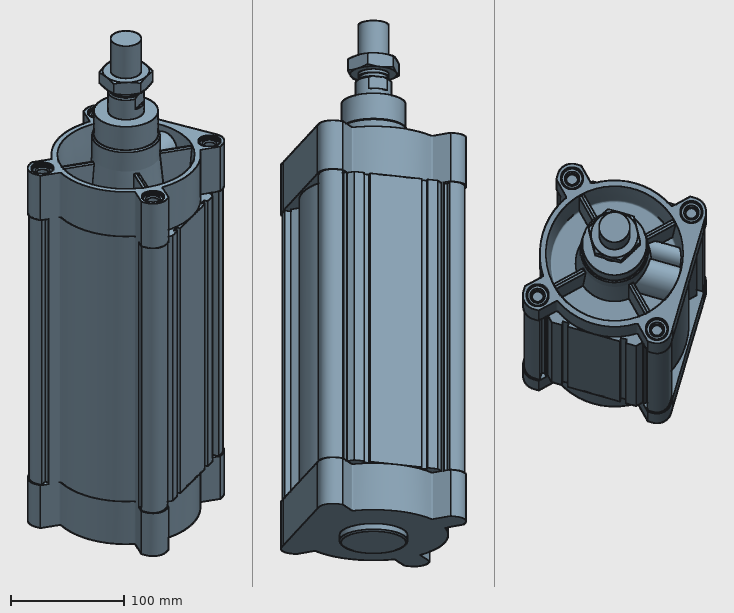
import cadquery as cq
import math

TOTAL_HEIGHT = 485.0
REAR_CAP_BOTTOM = 7.0
REAR_CAP_TOP = 50.5
FRONT_CAP_BOTTOM = 321.0
FRONT_CAP_TOP = 366.5
COLLAR_SHOULDER = 387.5
COLLAR_TOP = 411.5
FLATS_BOTTOM = 420.5
ROD_SHOULDER = 432.5
NECK_TOP = 436.5
NUT_BOTTOM = 439.5
NUT_TOP = 452.0

CAP_WIDTH = 136.0
CAP_CORNER_RADIUS = 13.0
CAP_ROUND_DIAMETER = 132.0
LUG_WIDTH = 25.0
LUG_ROOT_FILLET = 1.5
PORT_FACE_WIDTH = 100.0

BARREL_WIDTH = 133.5
BARREL_CORNER_RADIUS = CAP_CORNER_RADIUS - (CAP_WIDTH - BARREL_WIDTH) / 2
BARREL_ROUND_DIAMETER = 131.5
FLAT_TO_FLAT = 132.0
FLAT_HALF_LENGTH = 39.0
FLAT_BEVEL = 5.0
SLOT_CENTRE = 26.5
SLOT_WIDTH = 5.5
SLOT_DEPTH = 3.5
LUG_GROOVE_OUTER = 49.5
LUG_GROOVE_INNER = 44.5
LUG_GROOVE_FLOOR_WIDTH = 3.0
LUG_GROOVE_SLOPE_TOP = 62.5
LUG_GROOVE_BOTTOM = 60.0

RECESS_DIAMETER = 121.2
RECESS_FLOOR_DIAMETER = 112.5
RECESS_FLOOR_FILLET = 1.5
RECESS_DEPTH = 43.5
COLLAR_DIAMETER = 60.0
COLLAR_BASE_DIAMETER = 69.0
RIB_TOP_WIDTH = 5.0
RIB_BASE_WIDTH = 8.5
RIB_CROWN = 0.75
RIB_DROP = 2.5
PORT_BOSS_DIAMETER = 32.0
PORT_BOSS_X = 8.0
PORT_BOSS_DEPTH = 22.0
SCREW_BOSS_DIAMETER = 18.5
SCREW_BOSS_X = -17.0
SCREW_BOSS_DEPTH = 28.0

NOSE_DIAMETER = 56.7
SHOULDER_CHAMFER = 1.5
SPIGOT_CHAMFER = 1.5

SCREW_PITCH = CAP_WIDTH - 2 * CAP_CORNER_RADIUS
SCREW_RECESS_DIAMETER = 20.0
SCREW_RECESS_DEPTH = 1.5
SCREW_HEAD_DIAMETER = 18.0
SCREW_HEAD_DEPTH = 3.0
SOCKET_DIAMETER = 10.0
SOCKET_DEPTH = 9.5
SOCKET_CHAMFER = 1.5

ROD_DIAMETER = 32.0
ROD_FLATS = 27.0
ROD_CHAMFER = 1.5
THREAD_DIAMETER = 27.0
NECK_DIAMETER = 24.5
NUT_ACROSS_FLATS = 41.0
NUT_CHAMFER_ANGLE = 20
HEX_HALF_ANGLE = 30


def disc(diameter, bottom, top):
    return cq.Workplane("XY").workplane(offset=bottom).circle(diameter / 2).extrude(top - bottom)


def block(width, depth, bottom, top):
    return cq.Workplane("XY").workplane(offset=bottom).rect(width, depth).extrude(top - bottom)


def cone(bottom_diameter, bottom, top_diameter, top):
    return (
        cq.Workplane("XY").workplane(offset=bottom).circle(bottom_diameter / 2)
        .workplane(offset=top - bottom).circle(top_diameter / 2).loft()
    )


def lugged_disc(width, corner_radius, round_diameter, bottom, top):
    """Round body with four diagonal lugs, cut from a rounded square and filleted at their roots."""
    square = block(width, width, bottom, top).edges("|Z").fillet(corner_radius)
    bar = block(2 * width, LUG_WIDTH, bottom, top)
    bars = bar.rotate((0, 0, 0), (0, 0, 1), 45).union(bar.rotate((0, 0, 0), (0, 0, 1), -45))
    body = disc(round_diameter, bottom, top).union(square.intersect(bars))

    root_angle = math.asin(LUG_WIDTH / round_diameter)
    middle = (bottom + top) / 2
    for diagonal in (45, 135, 225, 315):
        for side in (-1, 1):
            angle = math.radians(diagonal) + side * root_angle
            root = (
                round_diameter / 2 * math.cos(angle),
                round_diameter / 2 * math.sin(angle),
                middle,
            )
            body = body.edges(cq.NearestToPointSelector(root)).fillet(LUG_ROOT_FILLET)
    return body


def end_cap(bottom, top):
    """Round cap with four corner lugs and a flat face for the port on +Y."""
    port_side = block(PORT_FACE_WIDTH, CAP_WIDTH / 2, bottom, top).translate((0, CAP_WIDTH / 4, 0))
    return lugged_disc(CAP_WIDTH, CAP_CORNER_RADIUS, CAP_ROUND_DIAMETER, bottom, top).union(port_side)


def lug_groove(side):
    """Groove along the barrel beside one lug of the +Y side; side is the sign of X."""
    outside = CAP_WIDTH / 2
    profile = [
        (side * LUG_GROOVE_OUTER, outside),
        (side * LUG_GROOVE_OUTER, LUG_GROOVE_BOTTOM),
        (side * (LUG_GROOVE_OUTER - LUG_GROOVE_FLOOR_WIDTH), LUG_GROOVE_BOTTOM),
        (side * LUG_GROOVE_INNER, LUG_GROOVE_SLOPE_TOP),
        (side * LUG_GROOVE_INNER, outside),
    ]
    return (
        cq.Workplane("XY").workplane(offset=REAR_CAP_TOP).polyline(profile).close()
        .extrude(FRONT_CAP_BOTTOM - REAR_CAP_TOP)
    )


def barrel():
    """Profiled tube: round on +Y and -Y, flat with two slots on +X and -X."""
    bottom, top = REAR_CAP_TOP, FRONT_CAP_BOTTOM
    flats = block(FLAT_TO_FLAT, 2 * (FLAT_HALF_LENGTH + FLAT_BEVEL), bottom, top)
    flats = flats.edges("|Z").chamfer(FLAT_BEVEL)
    body = lugged_disc(BARREL_WIDTH, BARREL_CORNER_RADIUS, BARREL_ROUND_DIAMETER, bottom, top)
    body = body.union(flats)
    for side in (-1, 1):
        for end in (-1, 1):
            slot = block(2 * SLOT_DEPTH, SLOT_WIDTH, bottom, top)
            body = body.cut(slot.translate((side * FLAT_TO_FLAT / 2, end * SLOT_CENTRE, 0)))
    for turn in (0, 90, 180, 270):
        for side in (-1, 1):
            body = body.cut(lug_groove(side).rotate((0, 0, 0), (0, 0, 1), turn))
    return body


def horizontal_boss(diameter, x, depth):
    """Round boss running from the collar to the +Y wall of the recess."""
    return (
        cq.Workplane("XZ").center(x, FRONT_CAP_TOP - depth).circle(diameter / 2)
        .extrude(-CAP_ROUND_DIAMETER / 2)
    )


def recess_filling():
    """Tapered collar base, four tapered ridged ribs and two bosses standing in the recess."""
    floor = FRONT_CAP_TOP - RECESS_DEPTH
    filling = cone(COLLAR_BASE_DIAMETER, floor, COLLAR_DIAMETER, FRONT_CAP_TOP)
    crown = FRONT_CAP_TOP - RIB_DROP
    shoulder = crown - RIB_CROWN
    rib = (
        cq.Workplane("YZ")
        .polyline([
            (-RIB_BASE_WIDTH / 2, floor),
            (RIB_BASE_WIDTH / 2, floor),
            (RIB_TOP_WIDTH / 2, shoulder),
            (0, crown),
            (-RIB_TOP_WIDTH / 2, shoulder),
        ])
        .close().extrude(RECESS_DIAMETER / 2, both=True)
    )
    for angle in (45, -45):
        filling = filling.union(rib.rotate((0, 0, 0), (0, 0, 1), angle))
    filling = filling.union(horizontal_boss(PORT_BOSS_DIAMETER, PORT_BOSS_X, PORT_BOSS_DEPTH))
    return filling.union(horizontal_boss(SCREW_BOSS_DIAMETER, SCREW_BOSS_X, SCREW_BOSS_DEPTH))


def screw_opening():
    """Stepped opening of one tie-rod screw: recess, head and chamfered socket."""
    top = FRONT_CAP_TOP
    head = top - SCREW_HEAD_DEPTH
    opening = disc(SCREW_RECESS_DIAMETER, top - SCREW_RECESS_DEPTH, top)
    opening = opening.union(disc(SCREW_HEAD_DIAMETER, head, top))
    opening = opening.union(disc(SOCKET_DIAMETER, top - SOCKET_DEPTH, top))
    mouth = SOCKET_DIAMETER + 2 * SOCKET_CHAMFER
    return opening.union(cone(SOCKET_DIAMETER, head - SOCKET_CHAMFER, mouth, head))


def front_cap():
    floor = FRONT_CAP_TOP - RECESS_DEPTH
    recess = cone(RECESS_FLOOR_DIAMETER, floor, RECESS_DIAMETER, FRONT_CAP_TOP)
    recess = recess.faces("<Z").edges().fillet(RECESS_FLOOR_FILLET)
    cap = end_cap(FRONT_CAP_BOTTOM, FRONT_CAP_TOP).cut(recess.cut(recess_filling()))
    half_pitch = SCREW_PITCH / 2
    for x in (-half_pitch, half_pitch):
        for y in (-half_pitch, half_pitch):
            cap = cap.cut(screw_opening().translate((x, y, 0)))
    return cap


def collar():
    lower = disc(COLLAR_DIAMETER, FRONT_CAP_TOP, COLLAR_SHOULDER).faces(">Z").chamfer(SHOULDER_CHAMFER)
    return lower.union(disc(NOSE_DIAMETER, COLLAR_SHOULDER, COLLAR_TOP))


def make_housing():
    spigot = disc(COLLAR_DIAMETER, 0, REAR_CAP_BOTTOM).faces("<Z").chamfer(SPIGOT_CHAMFER)
    housing = end_cap(REAR_CAP_BOTTOM, REAR_CAP_TOP).union(spigot)
    housing = housing.union(barrel()).union(front_cap()).union(collar())
    return housing.cut(disc(ROD_DIAMETER, FRONT_CAP_BOTTOM, COLLAR_TOP))


def make_piston_rod():
    rod = disc(ROD_DIAMETER, FRONT_CAP_BOTTOM, ROD_SHOULDER).faces(">Z").chamfer(ROD_CHAMFER)
    wrench_zone = disc(ROD_DIAMETER, FLATS_BOTTOM, ROD_SHOULDER)
    kept = block(ROD_FLATS, ROD_DIAMETER, FLATS_BOTTOM, ROD_SHOULDER)
    rod = rod.cut(wrench_zone.cut(kept))
    rod = rod.union(disc(NECK_DIAMETER, ROD_SHOULDER, NECK_TOP))
    return rod.union(disc(THREAD_DIAMETER, NECK_TOP, TOTAL_HEIGHT))


def make_nut():
    """Hexagon nut with corners on the Y axis, chamfered at its upper and lower faces."""
    corner_diameter = NUT_ACROSS_FLATS / math.cos(math.radians(HEX_HALF_ANGLE))
    rise = (corner_diameter - NUT_ACROSS_FLATS) / 2 * math.tan(math.radians(NUT_CHAMFER_ANGLE))
    hexagon = (
        cq.Workplane("XY").workplane(offset=NUT_BOTTOM).polygon(6, corner_diameter)
        .extrude(NUT_TOP - NUT_BOTTOM).rotate((0, 0, 0), (0, 0, 1), HEX_HALF_ANGLE)
    )
    envelope = cone(NUT_ACROSS_FLATS, NUT_BOTTOM, corner_diameter, NUT_BOTTOM + rise)
    envelope = envelope.union(disc(corner_diameter, NUT_BOTTOM + rise, NUT_TOP - rise))
    envelope = envelope.union(cone(corner_diameter, NUT_TOP - rise, NUT_ACROSS_FLATS, NUT_TOP))
    return hexagon.intersect(envelope).cut(disc(THREAD_DIAMETER, NUT_BOTTOM, NUT_TOP))


housing = make_housing()
piston_rod = make_piston_rod()
nut = make_nut()

result = cq.Compound.makeCompound([housing.val(), piston_rod.val(), nut.val()])